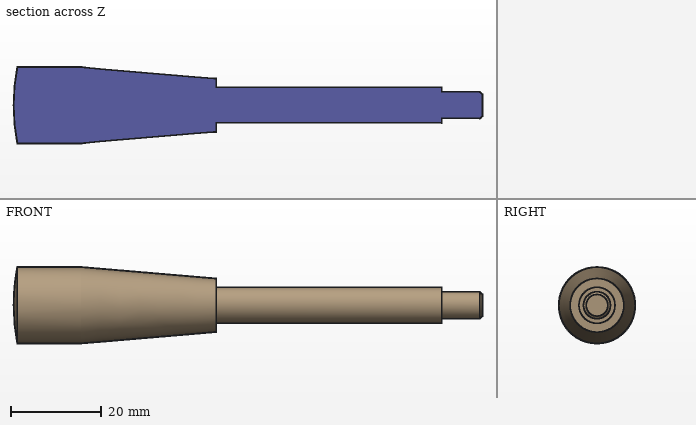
import cadquery as cq
import math

handle_length = 45.0
taper_length = 30.0
dome_height = 0.82
shank_length = 50.0
tip_length = 9.0

head_diameter = 17.0
taper_end_diameter = 11.9
shank_diameter = 8.0
tip_diameter = 6.0

tip_chamfer = 0.6

tip_start = handle_length + shank_length


def make_handle():
    """Domed cylindrical head followed by a taper, revolved about the X axis."""
    head_radius = head_diameter / 2
    taper_start = handle_length - taper_length
    dome_radius = (head_radius**2 + dome_height**2) / (2 * dome_height)
    arc_mid_radius = head_radius / 2
    arc_mid_x = dome_radius - math.sqrt(dome_radius**2 - arc_mid_radius**2)
    return (
        cq.Workplane("XZ")
        .moveTo(0, 0)
        .threePointArc((arc_mid_x, arc_mid_radius), (dome_height, head_radius))
        .lineTo(taper_start, head_radius)
        .lineTo(handle_length, taper_end_diameter / 2)
        .lineTo(handle_length, 0)
        .close()
        .revolve(360, (0, 0, 0), (1, 0, 0))
    )


def make_rod(diameter, start_x, length):
    """Plain cylinder along +X."""
    return cq.Workplane("YZ", origin=(start_x, 0, 0)).circle(diameter / 2).extrude(length)


handle = make_handle()
shank = make_rod(shank_diameter, handle_length, shank_length)
tip = make_rod(tip_diameter, tip_start, tip_length)
tip = tip.faces(">X").chamfer(tip_chamfer)

result = handle.union(shank).union(tip)